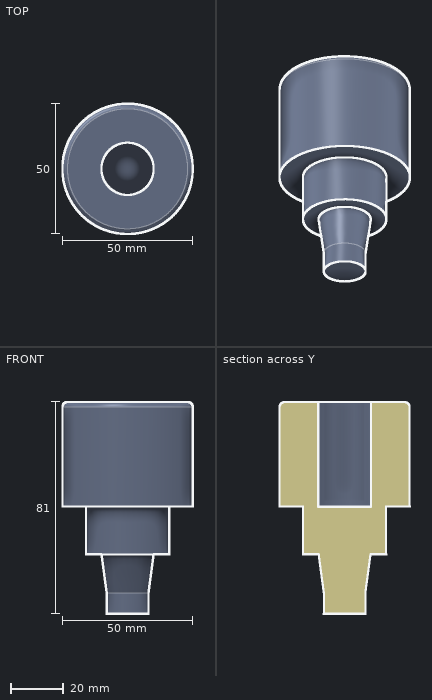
import cadquery as cq

total_height = 81
head_diameter = 50.0
head_height = 40.0
head_edge_radius = 2.0
neck_diameter = 32.0
neck_height = 18.3
tip_diameter = 16.0
tip_height = 7.9
bore_diameter = 20.0
bore_depth = head_height
taper_top_diameter = bore_diameter

head_bottom = total_height - head_height
neck_bottom = head_bottom - neck_height


def cylinder(diameter, bottom, height):
    """Upright cylinder on the Z axis."""
    return cq.Workplane("XY").workplane(offset=bottom).circle(diameter / 2).extrude(height)


head = cylinder(head_diameter, head_bottom, head_height).faces(">Z").edges().fillet(head_edge_radius)

neck = cylinder(neck_diameter, neck_bottom, neck_height)

spigot = (
    cq.Workplane("XZ")
    .lineTo(tip_diameter / 2, 0)
    .lineTo(tip_diameter / 2, tip_height)
    .lineTo(taper_top_diameter / 2, neck_bottom)
    .lineTo(0, neck_bottom)
    .close()
    .revolve(360, (0, 0, 0), (0, 1, 0))
)

bore = cylinder(bore_diameter, total_height - bore_depth, bore_depth)

result = head.union(neck).union(spigot).cut(bore)